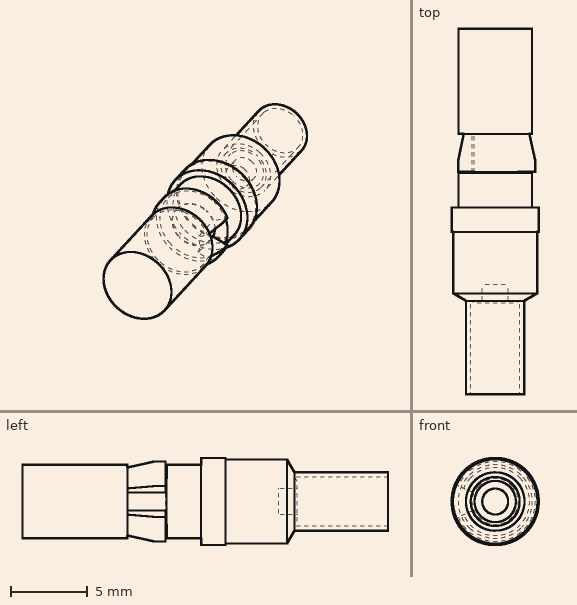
import cadquery as cq
import math

length = 23.8
front_end = -length / 2
rear_end = length / 2

barrel_dia = 3.8
body_dia = 5.5
flange_dia = 5.7
sleeve_dia = 4.8
core_dia = 3.0
clip_dia = 5.21
clip_small_dia = 4.45
bore_dia = 3.2
bore_floor_dia = 2.7
pilot_dia = 1.7

barrel_length = 6.1
body_length = 4.0
flange_length = 1.6
neck_length = 2.24
clip_length = 2.55
clip_rim_length = 0.75
clip_clearance = 0.07

cone_slope = math.tan(math.radians(30))
shoulder_length = cone_slope * (body_dia - barrel_dia) / 2

bore_depth = barrel_length
pilot_depth = 1.2

clip_gap_angle = 45.0

shoulder_start = front_end + barrel_length
body_start = shoulder_start + shoulder_length
flange_start = body_start + body_length
neck_start = flange_start + flange_length
groove_start = neck_start + neck_length
groove_end = groove_start + clip_length
clip_start = groove_start + clip_clearance
clip_rim_end = clip_start + clip_rim_length


def turn(profile):
    """Revolve a closed list of (diameter, axial place) points about the Y axis."""
    points = [(diameter / 2, place) for diameter, place in profile]
    return cq.Workplane("XY").polyline(points).close().revolve(360, (0, 0), (0, 1))


def make_body():
    """Outer stepped body with the clip groove cut down to the core."""
    return turn([
        (0, front_end),
        (barrel_dia, front_end),
        (barrel_dia, shoulder_start),
        (body_dia, body_start),
        (body_dia, flange_start),
        (flange_dia, flange_start),
        (flange_dia, neck_start),
        (sleeve_dia, neck_start),
        (sleeve_dia, groove_start),
        (core_dia, groove_start),
        (core_dia, groove_end),
        (sleeve_dia, groove_end),
        (sleeve_dia, rear_end),
        (0, rear_end),
    ])


def make_crimp_bore():
    """Wire bore whose floor rises as a truncated cone with a pilot hole in it."""
    floor_rim = front_end + bore_depth
    floor_top = floor_rim - cone_slope * (bore_dia - bore_floor_dia) / 2
    pilot_floor = floor_top + pilot_depth
    return turn([
        (0, front_end),
        (bore_dia, front_end),
        (bore_dia, floor_rim),
        (bore_floor_dia, floor_top),
        (pilot_dia, floor_top),
        (pilot_dia, pilot_floor),
        (0, pilot_floor),
    ])


def make_clip():
    """Retaining clip: a tapered ring split by a radial gap on the -X side."""
    ring = turn([
        (core_dia, clip_start),
        (clip_dia, clip_start),
        (clip_dia, clip_rim_end),
        (clip_small_dia, groove_end),
        (core_dia, groove_end),
    ])
    gap_reach = clip_dia
    gap_half_height = gap_reach * math.tan(math.radians(clip_gap_angle / 2))
    gap = (
        cq.Workplane("XZ", origin=(0, groove_end, 0))
        .polyline([(0, 0), (-gap_reach, gap_half_height), (-gap_reach, -gap_half_height)])
        .close()
        .extrude(clip_length)
    )
    return ring.cut(gap)


result = make_body().cut(make_crimp_bore()).union(make_clip())